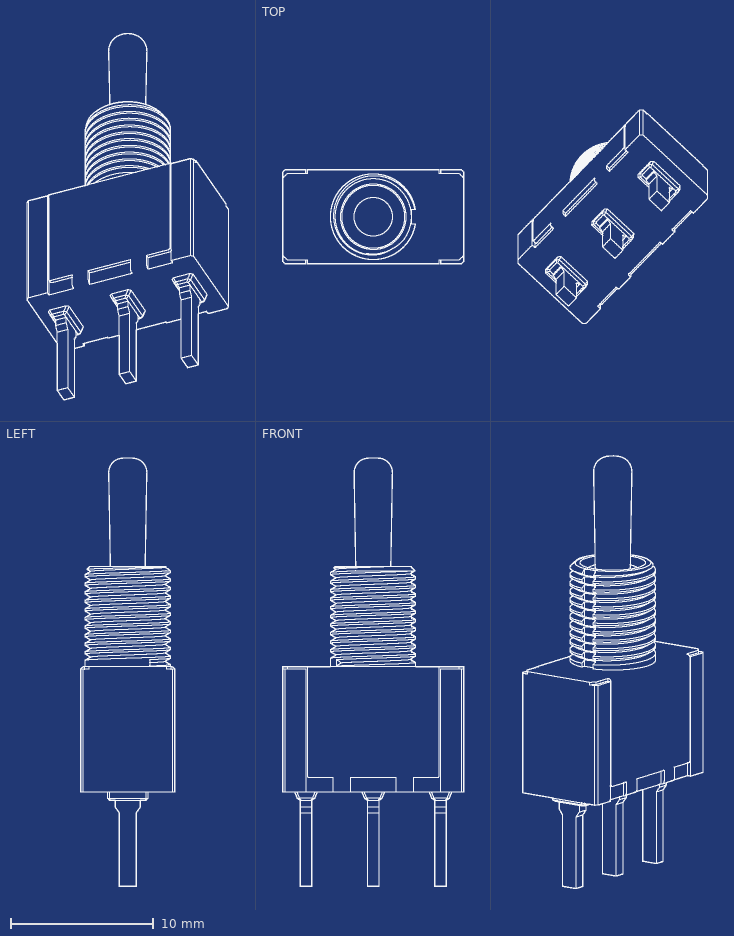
import cadquery as cq
import math

total_height = 30.0
housing_bottom = 6.6
housing_top = 15.4
bushing_top = 22.4

housing_length = 12.7
housing_width = 6.6
corner_chamfer = 0.18
plate_thickness = 0.27
ledge_depth = 0.18
ledge_corner_chamfer = 0.33
recess_length = 9.42
plate_gap = 0.1
plate_length = recess_length - 2 * plate_gap
plate_bottom = 7.62
plate_corner_radius = 0.15
bend_radius = 0.255
tab_length = 1.23
tab_offset = 2.22

thread_diameter = 6.0
thread_pitch = 0.6
thread_depth = 0.4
thread_half_angle = 30.0
thread_start_height = 15.65
thread_start_angle = 211.0
thread_overcut = 0.03
bushing_chamfer = 0.33
keyway_width = 1.0
keyway_radius = 2.67
bore_diameter = 4.6

head_diameter = 4.4
head_top = 22.02
head_fillet = 0.78
lever_base_diameter = 2.45
lever_tip_diameter = 2.7
lever_tip_height = 28.98
lever_flat_diameter = 0.65

pin_count = 3
pin_spacing = 4.7
pin_thickness = 0.8
pin_width = 1.2
pin_root_width = 1.77
pin_taper_bottom = 5.15
pin_taper_top = 5.55
collar_top_thickness = 1.6
collar_bottom_thickness = 1.1
collar_width = 2.85
collar_height = 0.57
collar_chamfer = 0.15


def centered_box(length, width, bottom, top):
    """Box centered on the vertical axis between two heights."""
    return cq.Workplane("XY", origin=(0, 0, bottom)).rect(length, width).extrude(top - bottom)


def housing_core():
    """Block with chamfered corners, a raised top and a recess in both long sides."""
    core_width = housing_width - 2 * plate_thickness
    columns = centered_box(housing_length, housing_width, housing_bottom, housing_top - ledge_depth)
    columns = columns.edges("|Z").chamfer(corner_chamfer)
    raised_top = centered_box(housing_length, core_width, housing_top - ledge_depth, housing_top)
    raised_top = raised_top.edges("|Z").chamfer(ledge_corner_chamfer)
    ring = centered_box(recess_length, 2 * housing_width, housing_bottom, housing_top)
    ring = ring.cut(centered_box(recess_length, core_width, housing_bottom, housing_top))
    return columns.union(raised_top).cut(ring)


def cover_plate():
    """Plate on the -Y side, rounded at the top, with two tabs bent inward at the bottom."""
    plate = (
        cq.Workplane("XY", origin=(0, (plate_thickness - housing_width) / 2, plate_bottom))
        .box(plate_length, plate_thickness, housing_top - plate_bottom, centered=(True, True, False))
        .edges("|Y and <Z")
        .fillet(plate_corner_radius)
        .edges("|X and >Z and <Y")
        .fillet(bend_radius)
    )
    for tab_x in (-tab_offset, tab_offset):
        tab = (
            cq.Workplane("XY", origin=(tab_x, (plate_thickness - housing_width) / 2, housing_bottom))
            .box(tab_length, plate_thickness, plate_bottom - housing_bottom, centered=(True, True, False))
            .edges("|X and <Z and <Y")
            .fillet(bend_radius)
        )
        plate = plate.union(tab)
    return plate


def thread_groove():
    """Right-handed V groove that starts just above the housing and runs out of the bushing top."""
    root_radius = thread_diameter / 2 - thread_depth
    outer_radius = thread_diameter / 2 + thread_overcut
    half_width = (outer_radius - root_radius) * math.tan(math.radians(thread_half_angle))
    helix_height = bushing_top + thread_pitch - thread_start_height
    helix = cq.Wire.makeHelix(thread_pitch, helix_height, root_radius)
    groove = (
        cq.Workplane("XZ")
        .polyline([(root_radius, 0), (outer_radius, half_width), (outer_radius, -half_width)])
        .close()
        .sweep(cq.Workplane(helix), isFrenet=True)
    )
    turned = groove.rotate((0, 0, 0), (0, 0, 1), thread_start_angle)
    return turned.translate((0, 0, thread_start_height))


def bushing():
    """Chamfered cylinder with an external thread and a keyway along its +X side."""
    barrel = (
        cq.Workplane("XY", origin=(0, 0, housing_top))
        .circle(thread_diameter / 2)
        .extrude(bushing_top - housing_top)
        .faces(">Z")
        .chamfer(bushing_chamfer)
    )
    keyway = (
        cq.Workplane("XY", origin=(keyway_radius, 0, housing_top))
        .box(thread_diameter, keyway_width, bushing_top - housing_top, centered=(False, True, False))
    )
    return barrel.cut(thread_groove()).cut(keyway)


def lever_bore():
    """Blind bore that holds the head of the lever."""
    return (
        cq.Workplane("XY", origin=(0, 0, housing_top))
        .circle(bore_diameter / 2)
        .extrude(bushing_top - housing_top)
    )


def pin():
    """Flat solder pin that widens along Y just below the housing."""
    half_width = pin_width / 2
    half_root = pin_root_width / 2
    return (
        cq.Workplane("YZ")
        .polyline([
            (-half_width, 0),
            (half_width, 0),
            (half_width, pin_taper_bottom),
            (half_root, pin_taper_top),
            (half_root, housing_bottom),
            (-half_root, housing_bottom),
            (-half_root, pin_taper_top),
            (-half_width, pin_taper_bottom),
        ])
        .close()
        .extrude(pin_thickness / 2, both=True)
    )


def collar():
    """Tapered collar around the root of a pin, chamfered at its corners and its lower rim."""
    half_top = collar_top_thickness / 2
    half_bottom = collar_bottom_thickness / 2
    collar_bottom = housing_bottom - collar_height
    return (
        cq.Workplane("XZ")
        .polyline([
            (-half_top, housing_bottom),
            (half_top, housing_bottom),
            (half_bottom, collar_bottom),
            (-half_bottom, collar_bottom),
        ])
        .close()
        .extrude(collar_width / 2, both=True)
        .edges("not (#Z or |Y)")
        .chamfer(collar_chamfer)
        .faces("<Z")
        .chamfer(collar_chamfer)
    )


def make_housing():
    """Housing with its cover plates, threaded bushing, bore, collars and pins in one solid."""
    body = housing_core()
    plate = cover_plate()
    body = body.union(plate).union(plate.mirror("XZ"))
    body = body.union(bushing()).cut(lever_bore())
    for index in range(pin_count):
        pin_x = (index - (pin_count - 1) / 2) * pin_spacing
        body = body.union(collar().union(pin()).translate((pin_x, 0, 0)))
    return body


def make_lever():
    """Toggle lever: a rounded head, a shaft that widens upward and a rounded tip with a small flat."""
    base_radius = lever_base_diameter / 2
    tip_radius = lever_tip_diameter / 2
    flat_radius = lever_flat_diameter / 2
    dome_height = total_height - lever_tip_height
    dome_radius = tip_radius - flat_radius
    dome_mid = (
        flat_radius + dome_radius * math.sin(math.pi / 4),
        lever_tip_height + dome_height * math.sin(math.pi / 4),
    )
    shaft = (
        cq.Workplane("XZ")
        .moveTo(0, head_top)
        .lineTo(base_radius, head_top)
        .lineTo(tip_radius, lever_tip_height)
        .threePointArc(dome_mid, (flat_radius, total_height))
        .lineTo(0, total_height)
        .close()
        .revolve(360, (0, 0, 0), (0, 1, 0))
    )
    head = (
        cq.Workplane("XY", origin=(0, 0, housing_top))
        .circle(head_diameter / 2)
        .extrude(head_top - housing_top)
        .faces(">Z")
        .edges()
        .fillet(head_fillet)
    )
    return head.union(shaft)


housing = make_housing()
lever = make_lever()
result = cq.Compound.makeCompound([housing.val(), lever.val()])